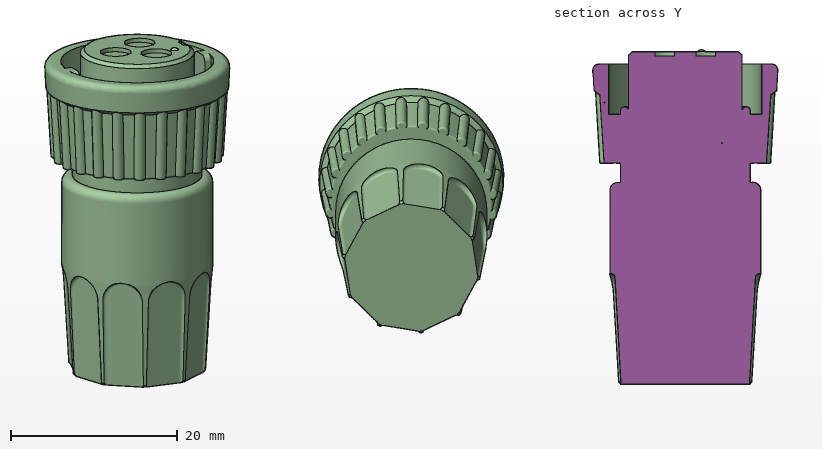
import cadquery as cq
import math

BODY_SHOULDER_Z = 13.05
BODY_TOP_Z = 24.25
COLLAR_BOTTOM_Z = 26.5
BAND_BOTTOM_Z = 35.2
COLLAR_TOP_Z = 38.42
INSERT_TOP_Z = 39.9
OVERALL_HEIGHT = 40.13

BODY_RADIUS = 9.08
BODY_TOP_FILLET = 1.0
BODY_END_RADIUS = 8.35
BODY_END_CHAMFER = 0.3

FLAT_COUNT = 10
FLAT_END_DISTANCE = 7.72
FLAT_HALF_WIDTH = 2.44
FLAT_TOP_Z = 13.27
FLAT_CORNER_FILLET = 0.42
FLAT_CUT_DEPTH = 2.0
FLAT_OVERRUN = 1.0
TAPER = math.degrees(math.atan((BODY_RADIUS - BODY_END_RADIUS) / BODY_SHOULDER_Z))

NECK_RADIUS = 7.8
NECK_TOP_Z = 33.3

COLLAR_RADIUS = 11.11
COLLAR_TOP_FILLET = 0.76
COLLAR_BORE_RADIUS = 9.17
COLLAR_FLOOR_Z = 32.4
BAND_BOTTOM_RADIUS = 10.98
BAND_UNDERCUT_HEIGHT = 0.5

RIB_COUNT = 24
RIB_RADIUS = 0.68
RIB_BOTTOM_CENTER_RADIUS = 9.66
RIB_TOP_CENTER_RADIUS = 10.18
GRIP_CORE_OFFSET = 0.1
GRIP_END_FILLET = 0.22

KEY_WIDTH = 2.99
KEY_FILLET = 0.77
KEY_INNER_DISTANCE = 8.22
KEY_OUTER_DISTANCE = 9.6

INSERT_RADIUS = 6.83
INSERT_TOP_RADIUS = 6.35
INSERT_CHAMFER_HEIGHT = 0.4
CONTACT_COUNT = 3
CONTACT_RADIUS = 1.83
CONTACT_CIRCLE_RADIUS = 2.83
CONTACT_DEPTH = 0.5

KEYWAY_FLOOR_Y = 5.77
KEYWAY_SLOPE_END_Y = 6.3
KEYWAY_FLOOR_WIDTH = 1.48
KEYWAY_WIDTH = 2.0

DOT_X = 1.95
DOT_Y = 4.03
DOT_RADIUS = 0.48


def revolved(profile):
    """Close a profile drawn in the XZ plane and turn it around the Z axis."""
    return profile.close().revolve(360, (0, 0, 0), (0, 1, 0))


def around(shape, count, start_angle=0):
    """Yield copies of a shape equally spaced around the Z axis."""
    for index in range(count):
        yield shape.rotate((0, 0, 0), (0, 0, 1), start_angle + index * 360 / count)


def make_body():
    body = revolved(
        cq.Workplane("XZ")
        .lineTo(BODY_END_RADIUS - BODY_END_CHAMFER, 0)
        .lineTo(BODY_END_RADIUS, BODY_END_CHAMFER)
        .lineTo(BODY_RADIUS, BODY_SHOULDER_Z)
        .lineTo(BODY_RADIUS, BODY_TOP_Z)
        .lineTo(0, BODY_TOP_Z)
    )
    body = body.faces(">Z").edges().fillet(BODY_TOP_FILLET)
    for cutter in around(make_flat_cutter(), FLAT_COUNT):
        body = body.cut(cutter)
    return body


def make_flat_cutter():
    """Round-topped block whose inner face lies parallel to the tapered end."""
    tilt = math.radians(TAPER)
    plane = cq.Plane(
        origin=(FLAT_END_DISTANCE, 0, 0),
        xDir=(0, 1, 0),
        normal=(math.cos(tilt), 0, -math.sin(tilt)),
    )
    top = FLAT_TOP_Z / math.cos(tilt)
    arch_start = top - FLAT_HALF_WIDTH
    return (
        cq.Workplane(plane)
        .moveTo(-FLAT_HALF_WIDTH, -FLAT_OVERRUN)
        .lineTo(FLAT_HALF_WIDTH, -FLAT_OVERRUN)
        .lineTo(FLAT_HALF_WIDTH, arch_start)
        .threePointArc((0, top), (-FLAT_HALF_WIDTH, arch_start))
        .close()
        .extrude(FLAT_CUT_DEPTH)
        .faces("<X")
        .edges()
        .fillet(FLAT_CORNER_FILLET)
    )


def make_neck():
    """Cylinder whose upper end is a half-round rim around the insert."""
    rim_radius = (NECK_RADIUS - INSERT_RADIUS) / 2
    rim_start_z = NECK_TOP_Z - rim_radius
    return revolved(
        cq.Workplane("XZ")
        .moveTo(0, BODY_TOP_Z)
        .lineTo(NECK_RADIUS, BODY_TOP_Z)
        .lineTo(NECK_RADIUS, rim_start_z)
        .threePointArc((INSERT_RADIUS + rim_radius, NECK_TOP_Z), (INSERT_RADIUS, rim_start_z))
        .lineTo(0, rim_start_z)
    )


def make_collar():
    bottom_radius = RIB_BOTTOM_CENTER_RADIUS + GRIP_CORE_OFFSET
    top_radius = RIB_TOP_CENTER_RADIUS + GRIP_CORE_OFFSET
    collar = revolved(
        cq.Workplane("XZ")
        .moveTo(0, COLLAR_BOTTOM_Z)
        .lineTo(bottom_radius, COLLAR_BOTTOM_Z)
        .lineTo(top_radius, BAND_BOTTOM_Z - BAND_UNDERCUT_HEIGHT)
        .lineTo(BAND_BOTTOM_RADIUS, BAND_BOTTOM_Z)
        .lineTo(COLLAR_RADIUS, COLLAR_TOP_Z - COLLAR_TOP_FILLET)
        .lineTo(COLLAR_RADIUS, COLLAR_TOP_Z)
        .lineTo(0, COLLAR_TOP_Z)
    )
    collar = collar.faces(">Z").edges().fillet(COLLAR_TOP_FILLET)
    collar = collar.faces("<Z").edges().fillet(GRIP_END_FILLET)

    half_pitch = 180 / RIB_COUNT
    for rib in around(make_rib(), RIB_COUNT, half_pitch):
        collar = collar.union(rib)

    bore = (
        cq.Workplane("XY", origin=(0, 0, COLLAR_FLOOR_Z))
        .circle(COLLAR_BORE_RADIUS)
        .extrude(COLLAR_TOP_Z - COLLAR_FLOOR_Z)
    )
    collar = collar.cut(bore)
    for key in around(make_key(), 2):
        collar = collar.union(key)
    return collar


def make_rib():
    """Round rib leaning outward along the grip, with a rounded lower end."""
    run = RIB_TOP_CENTER_RADIUS - RIB_BOTTOM_CENTER_RADIUS
    rise = BAND_BOTTOM_Z - COLLAR_BOTTOM_Z
    plane = cq.Plane(
        origin=(RIB_BOTTOM_CENTER_RADIUS, 0, COLLAR_BOTTOM_Z),
        xDir=(0, 1, 0),
        normal=(run, 0, rise),
    )
    rib = cq.Workplane(plane).circle(RIB_RADIUS).extrude(math.hypot(run, rise))
    return rib.faces("<Z").edges().fillet(GRIP_END_FILLET)


def make_key():
    """Key standing inward from the +Y side of the collar bore."""
    return (
        cq.Workplane("XY")
        .box(
            KEY_WIDTH,
            KEY_OUTER_DISTANCE - KEY_INNER_DISTANCE,
            COLLAR_TOP_Z - COLLAR_FLOOR_Z,
            centered=(True, False, False),
        )
        .translate((0, KEY_INNER_DISTANCE, COLLAR_FLOOR_Z))
        .faces(">Z")
        .edges("|Y")
        .fillet(KEY_FILLET)
    )


def make_insert():
    insert = revolved(
        cq.Workplane("XZ")
        .moveTo(0, BODY_TOP_Z)
        .lineTo(INSERT_RADIUS, BODY_TOP_Z)
        .lineTo(INSERT_RADIUS, INSERT_TOP_Z - INSERT_CHAMFER_HEIGHT)
        .lineTo(INSERT_TOP_RADIUS, INSERT_TOP_Z)
        .lineTo(0, INSERT_TOP_Z)
    )
    contacts = (
        cq.Workplane("XY", origin=(0, 0, INSERT_TOP_Z - CONTACT_DEPTH))
        .polarArray(CONTACT_CIRCLE_RADIUS, -90, 360, CONTACT_COUNT)
        .circle(CONTACT_RADIUS)
        .extrude(CONTACT_DEPTH)
    )
    return insert.cut(contacts).cut(make_keyway()).union(make_dot())


def make_keyway():
    """Groove with tapering sides down the +Y side of the insert, ending at the neck."""
    half_width = KEYWAY_WIDTH / 2
    half_floor = KEYWAY_FLOOR_WIDTH / 2
    return (
        cq.Workplane("XY", origin=(0, 0, NECK_TOP_Z))
        .moveTo(-half_floor, KEYWAY_FLOOR_Y)
        .lineTo(half_floor, KEYWAY_FLOOR_Y)
        .lineTo(half_width, KEYWAY_SLOPE_END_Y)
        .lineTo(half_width, NECK_RADIUS)
        .lineTo(-half_width, NECK_RADIUS)
        .lineTo(-half_width, KEYWAY_SLOPE_END_Y)
        .close()
        .extrude(INSERT_TOP_Z - NECK_TOP_Z)
    )


def make_dot():
    """Ball sunk into the insert face so that only its cap stands proud."""
    cap_height = OVERALL_HEIGHT - INSERT_TOP_Z
    ball_radius = (DOT_RADIUS**2 + cap_height**2) / (2 * cap_height)
    center = (DOT_X, DOT_Y, OVERALL_HEIGHT - ball_radius)
    return cq.Workplane("XY").sphere(ball_radius).translate(center)


result = make_body().union(make_collar()).union(make_neck()).union(make_insert())